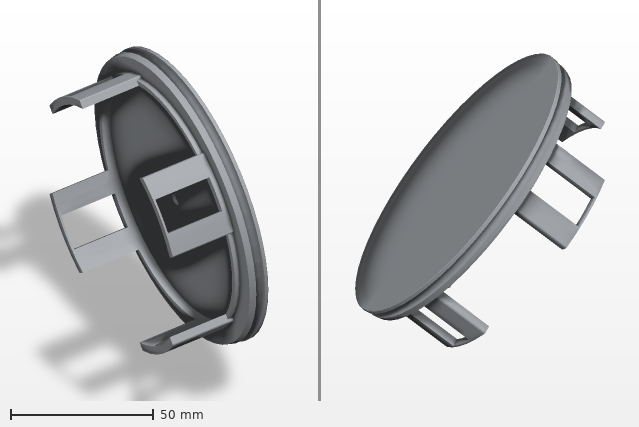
import cadquery as cq
total_depth = 31.8

badge_radius = 55.4
badge_edge_chamfer = 0.2
badge_rim_depth = 1.4
badge_depth = 4.5
groove_edge_radius = 54.1
groove_floor_radius = 52.9
groove_floor_depth = (badge_rim_depth + badge_depth) / 2

lip_radius = 55.0
lip_start_depth = 4.8
taper_start_radius = 54.9
taper_start_depth = 5.1
plate_front_radius = 54.3
plate_depth = 7.1
floor_depth = 5.8
ring_inner_radius = 45.6
ring_outer_radius = 47.5
ring_depth = 9.1
hole_radius = 2.3

clip_axis_angles = (45, 135)
clip_outer_radius = 48.6
clip_width = 29.9
clip_corner_chamfer = 0.3
window_width = 12.7
clip_end_bar = 0.8


def revolve_profile(profile):
    """Close a radius-by-depth outline and turn it about the Y axis."""
    return profile.close().revolve(360, (0, 0, 0), (0, 1, 0))


def make_badge():
    profile = (
        cq.Workplane("XY")
        .lineTo(badge_radius - badge_edge_chamfer, 0)
        .lineTo(badge_radius, -badge_edge_chamfer)
        .lineTo(badge_radius, -badge_rim_depth)
        .lineTo(groove_edge_radius, -badge_rim_depth)
        .threePointArc((groove_floor_radius, -groove_floor_depth), (groove_edge_radius, -badge_depth))
        .lineTo(0, -badge_depth)
    )
    return revolve_profile(profile)


def make_bell():
    """Plate whose ring wall stands unbroken at the full height and thickness of the clips."""
    profile = (
        cq.Workplane("XY")
        .moveTo(hole_radius, -badge_depth)
        .lineTo(groove_edge_radius, -badge_depth)
        .lineTo(lip_radius, -lip_start_depth)
        .lineTo(taper_start_radius, -taper_start_depth)
        .lineTo(plate_front_radius, -plate_depth)
        .lineTo(clip_outer_radius, -plate_depth)
        .lineTo(clip_outer_radius, -total_depth)
        .lineTo(ring_inner_radius, -total_depth)
        .lineTo(ring_inner_radius, -floor_depth)
        .lineTo(hole_radius, -floor_depth)
    )
    return revolve_profile(profile)


def cross_bar(width, start_depth, end_depth, angle):
    """Bar through the Y axis, spanning two opposite clips."""
    length = end_depth - start_depth
    bar = cq.Workplane("XY").box(2 * badge_radius, length, width)
    return bar.translate((0, -start_depth - length / 2, 0)).rotate((0, 0, 0), (0, 1, 0), angle)


def make_wall_gaps():
    """What is cut from the wall between the clips to leave only the low, thin ring."""
    profile = (
        cq.Workplane("XY")
        .moveTo(0, -ring_depth)
        .lineTo(ring_outer_radius, -ring_depth)
        .lineTo(ring_outer_radius, -plate_depth)
        .lineTo(badge_radius, -plate_depth)
        .lineTo(badge_radius, -total_depth)
        .lineTo(0, -total_depth)
    )
    gaps = revolve_profile(profile)
    for angle in clip_axis_angles:
        gaps = gaps.cut(cross_bar(clip_width, plate_depth, total_depth, angle))
    return gaps


def make_cap():
    cap = make_bell().cut(make_wall_gaps())

    clip_length = total_depth - plate_depth
    outer_edges = [edge for edge in cap.edges("|Y").vals() if round(edge.Length() - clip_length, 3) == 0]
    cap = cap.newObject(outer_edges).chamfer(clip_corner_chamfer)

    for angle in clip_axis_angles:
        cap = cap.cut(cross_bar(window_width, ring_depth, total_depth - clip_end_bar, angle))
    return cap


badge = make_badge()
cap = make_cap()
result = cq.Compound.makeCompound([badge.val(), cap.val()])